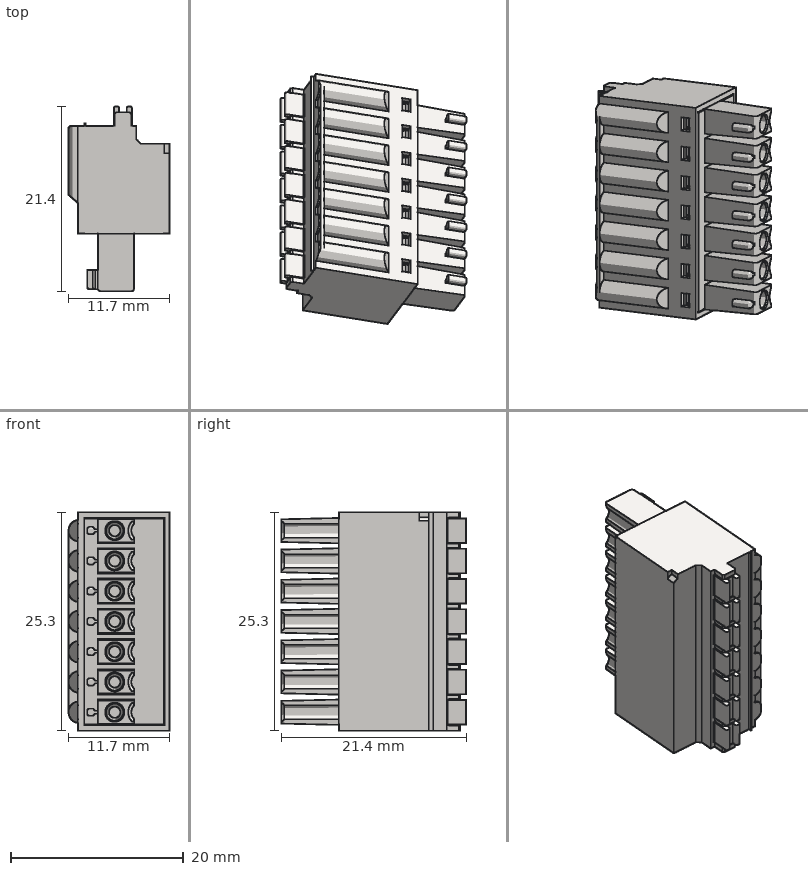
import cadquery as cq


total_width = 11.7
total_depth = 21.4
height = 25.3
ways = 7
pitch = 3.5

bulge_rise = 1.1
bulge_width = 2.5
bulge_end_low = 3.53
bulge_end_high = 4.47
bulge_back_chamfer = 0.2

body_width = total_width - bulge_rise
body_back = 12.45
ledge_back = 10.4
step_x = 6.75
step_chamfer = 0.5

prong_length = 6.7
prong_x0 = 2.3
prong_x1 = 6.49
prong_height = 2.95
prong_tip_height = 2.65
prong_straight = 0.2
prong_fillet = 0.35
bore_x = 4.25
bore_mouth_d = 2.22
bore_d = 2.0
bore_end_d = 1.3
bore_lead_in = 0.2
bore_depth = 5.0
flute_x = 7.35
flute_mouth_d = 3.08
flute_d = 2.34

key_length = 2.25
key_front_gap = 0.25
key_width = 0.86
key_neck = 0.3
key_x0 = 1.07
key_neck_x = 2.0
key_corner = 0.28
key_tip_fillet = 0.24

side_rim = 0.7
end_rim = 0.65
far_rim = 0.55
groove_width = 0.1
groove_depth = 0.3
insert_rise = 0.04

window_y0 = 0.83
window_y1 = 1.88
window_height = 1.6
window_depth = 0.75
catch_y1 = 1.62
catch_flat_y = 1.15
catch_height = 1.2
catch_shallow = 0.1
catch_deep = 0.55

web_y0 = 11.82
web_y1 = 12.22
back_rib_x0 = 0.72
back_rib_width = 0.2
back_rib_rise = 0.3

button_x0 = 4.15
button_x1 = 6.25
button_back = 14.03
button_height = 2.86
button_foot = 0.12
lug_width = 0.62
lug_fillet = 0.22
bridge_gap = 0.08
bridge_inset = 0.08
bridge_chamfer = 0.2

notch_width = 0.62
notch_depth = 1.1
notch_drop = 0.6
notch_mid_drop = 0.72
notch_end_drop = 1.0

overlap = 0.2

back = total_depth - prong_length
way_levels = [(i - (ways - 1) / 2) * pitch for i in range(ways)]
prong_width = prong_x1 - prong_x0


def box(x0, x1, y0, y1, z0, z1):
    return cq.Workplane("XY").box(x1 - x0, y1 - y0, z1 - z0, centered=False).translate((x0, y0, z0))


def on_every_way(piece):
    """Workplane holding one copy of the piece at each way."""
    copies = cq.Workplane("XY")
    for z in way_levels:
        copies = copies.add(piece.translate((0, 0, z)))
    return copies.combine()


def prism(points, z_height):
    """Outline in X and Y, extruded symmetrically about its own mid height."""
    return cq.Workplane("XY").polyline(points).close().extrude(z_height / 2, both=True)


def make_body():
    outline = [
        (0, 0),
        (body_width, 0),
        (body_width, ledge_back),
        (step_x + step_chamfer, ledge_back),
        (step_x, ledge_back + step_chamfer),
        (step_x, body_back),
        (0, body_back),
    ]
    return prism(outline, height)


def make_corner_notch():
    """Cutter for the far back corner of the upper end, with a floor rounded towards +X."""
    top = height / 2
    x0 = body_width - notch_width
    mid = (x0 + notch_width / 2, top - notch_mid_drop)
    return (
        cq.Workplane("XZ", origin=(0, ledge_back, 0))
        .moveTo(x0, top)
        .lineTo(x0, top - notch_drop)
        .threePointArc(mid, (body_width, top - notch_end_drop))
        .lineTo(body_width, top)
        .close()
        .extrude(notch_depth)
    )


def make_insert_groove():
    """Cutter for the narrow joint between rim and front insert, on three sides."""
    x1 = body_width - far_rim
    z1 = height / 2 - end_rim
    outer = box(side_rim, x1, 0, groove_depth, -z1, z1)
    inner = box(side_rim, x1 - groove_width, 0, groove_depth, -z1 + groove_width, z1 - groove_width)
    return outer.cut(inner)


def make_insert_face():
    x1 = body_width - far_rim - groove_width
    z1 = height / 2 - end_rim - groove_width
    return box(side_rim, x1, -insert_rise, overlap, -z1, z1)


def make_bulge():
    half = bulge_width / 2
    bulge = (
        cq.Workplane("XZ", origin=(0, body_back, 0))
        .moveTo(overlap, -half)
        .lineTo(0, -half)
        .threePointArc((-bulge_rise, 0), (0, half))
        .lineTo(overlap, half)
        .close()
        .extrude(body_back - bulge_end_low)
    )
    side_profile = prism(
        [
            (overlap, bulge_end_low),
            (0, bulge_end_low),
            (-bulge_rise, bulge_end_high),
            (-bulge_rise, body_back - bulge_back_chamfer),
            (-bulge_rise + bulge_back_chamfer, body_back),
            (overlap, body_back),
        ],
        bulge_width,
    )
    return bulge.intersect(side_profile)


def make_window():
    """Cutter for one side window with a sloped catch pocket in its floor."""
    window = box(0, window_depth, window_y0, window_y1, -window_height / 2, window_height / 2)
    catch = prism(
        [
            (0, window_y0),
            (window_depth + catch_shallow, window_y0),
            (window_depth + catch_shallow, catch_flat_y),
            (window_depth + catch_deep, catch_y1),
            (0, catch_y1),
        ],
        catch_height,
    )
    return window.union(catch)


def make_prong():
    half = prong_height / 2
    half_tip = prong_tip_height / 2
    side = (
        cq.Workplane("YZ", origin=(prong_x0, 0, 0))
        .polyline([
            (overlap, -half),
            (overlap, half),
            (-prong_straight, half),
            (-prong_length, half_tip),
            (-prong_length, -half_tip),
            (-prong_straight, -half),
        ])
        .close()
        .extrude(prong_width)
    )
    return side.faces("<Y").edges("|Z").fillet(prong_fillet)


def make_bore():
    """Cutter for the contact bore: short lead-in, then a long taper to a flat end."""
    profile = [
        (0, 0),
        (bore_mouth_d / 2, 0),
        (bore_d / 2, bore_lead_in),
        (bore_end_d / 2, bore_depth),
        (0, bore_depth),
    ]
    bore = cq.Workplane("XY").polyline(profile).close().revolve(360, (0, 0, 0), (0, 1, 0))
    return bore.translate((bore_x, -prong_length, 0))


def make_flute():
    """Cutter for the round flute along the +X side of a prong, flared at the tip."""
    flare = (flute_mouth_d - flute_d) / 2
    end = prong_length - insert_rise
    profile = [
        (0, 0),
        (flute_mouth_d / 2, 0),
        (flute_d / 2, flare),
        (flute_d / 2, end),
        (0, end),
    ]
    flute = cq.Workplane("XY").polyline(profile).close().revolve(360, (0, 0, 0), (0, 1, 0))
    return flute.translate((flute_x, -prong_length, 0))


def make_key():
    """Coding key on the side of a prong: a rounded head on a narrow neck."""
    half = key_width / 2
    half_neck = key_neck / 2
    front = -prong_length + key_front_gap
    taper_x = key_neck_x - (half - half_neck)
    key = (
        cq.Workplane("XZ", origin=(0, front + key_length, 0))
        .polyline([
            (key_x0, -half),
            (key_x0, half),
            (taper_x, half),
            (key_neck_x, half_neck),
            (prong_x0 + overlap, half_neck),
            (prong_x0 + overlap, -half_neck),
            (key_neck_x, -half_neck),
            (taper_x, -half),
        ])
        .close()
        .extrude(key_length)
    )
    key = key.faces("<X").edges("|Y").fillet(key_corner)
    return key.faces("<Y").edges("<X or >Z or <Z").fillet(key_tip_fillet)


def make_button():
    """Release button at the back, with two rounded lugs."""
    base = prism(
        [
            (button_x0 - button_foot, body_back - overlap),
            (button_x0 - button_foot, body_back),
            (button_x0, body_back + button_foot),
            (button_x0, button_back),
            (button_x1, button_back),
            (button_x1, body_back + button_foot),
            (button_x1 + button_foot, body_back),
            (button_x1 + button_foot, body_back - overlap),
        ],
        button_height,
    )
    half = button_height / 2
    for x in (button_x0, button_x1 - lug_width):
        lug = box(x, x + lug_width, button_back - overlap, back, -half, half)
        base = base.union(lug.faces(">Y").edges("|Z").fillet(lug_fillet))
    return base


def make_bridges():
    """Bars that fill the back between the buttons and out to both ends."""
    bar = box(
        button_x0 + bridge_inset,
        button_x1 - bridge_inset,
        body_back - overlap,
        button_back,
        -height / 2,
        height / 2,
    )
    bar = bar.faces(">Y").edges("|Z").chamfer(bridge_chamfer)
    half = button_height / 2 + bridge_gap
    opening = box(button_x0, button_x1, body_back, button_back, -half, half)
    return bar.cut(on_every_way(opening))


def make_web():
    """Thin plate joining the bulges near their back end."""
    reach = way_levels[-1]
    return box(-bulge_rise, overlap, web_y0, web_y1, -reach, reach)


def make_back_rib():
    return box(
        back_rib_x0,
        back_rib_x0 + back_rib_width,
        body_back - overlap,
        body_back + back_rib_rise,
        -height / 2,
        height / 2,
    )


housing = make_body().cut(make_corner_notch()).cut(make_insert_groove()).union(make_insert_face())
housing = housing.cut(on_every_way(make_window()))

prong = make_prong().cut(make_bore()).cut(make_flute()).union(make_key())

result = (
    housing
    .union(make_web())
    .union(make_back_rib())
    .union(make_bridges())
    .union(on_every_way(make_bulge()))
    .union(on_every_way(make_button()))
    .union(on_every_way(prong))
)